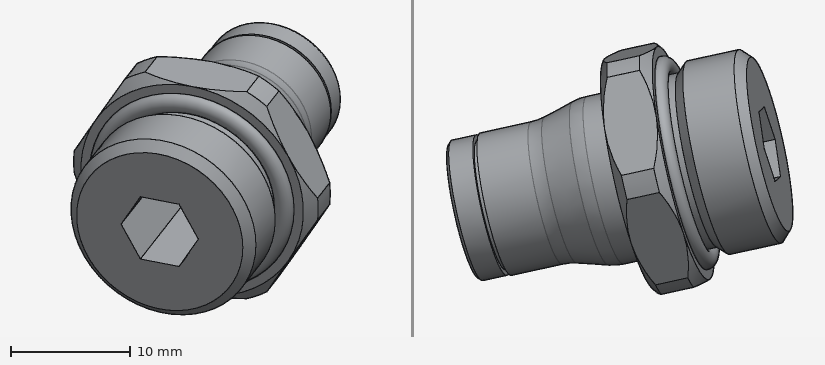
import cadquery as cq
import math

thread_end = 5.3
neck_start = 6.17
ring_start = 6.6
nut_start = 7.5
nut_end = 12.0
taper_start = 14.9
taper_end = 18.7
groove_start = 23.77
groove_end = 24.15
total_length = 26.5

thread_radius = 8.32
neck_radius = 7.5
ring_radius = 9.17
shank_radius = 7.2
stem_radius = 6.12
groove_radius = 5.56
cap_radius = 6.05

thread_chamfer = 0.85
cap_chamfer = 0.26
taper_blend_radius = 4.5
edge_search_margin = 0.13
ring_section_radius = 0.85

nut_across_flats = 20.0
nut_corner_radius = 11.0
nut_chamfer_length = 0.85
socket_across_flats = 6.02


def hex_prism(across_flats, start, end):
    """Hexagonal prism along Y with two corners on the X axis."""
    across_corners = across_flats / math.cos(math.radians(30))
    return (
        cq.Workplane("XZ", origin=(0, start, 0))
        .polygon(6, across_corners)
        .extrude(start - end)
    )


def revolve_profile(points):
    """Solid of revolution about Y from (radius, station) points."""
    return cq.Workplane("XY").polyline(points).close().revolve(360, (0, 0, 0), (0, 1, 0))


def turned_body():
    """Threaded end, neck, shank, tapered stem and grooved cap."""
    body = revolve_profile([
        (0, 0),
        (thread_radius - thread_chamfer, 0),
        (thread_radius, thread_chamfer),
        (thread_radius, thread_end),
        (neck_radius, neck_start),
        (neck_radius, nut_end),
        (shank_radius, nut_end),
        (shank_radius, taper_start),
        (stem_radius, taper_end),
        (stem_radius, groove_start),
        (groove_radius, groove_start),
        (groove_radius, groove_end),
        (cap_radius, groove_end),
        (cap_radius, total_length - cap_chamfer),
        (cap_radius - cap_chamfer, total_length),
        (0, total_length),
    ])
    for station in (taper_start, taper_end):
        band = cq.selectors.BoxSelector(
            (-thread_radius, station - edge_search_margin, -thread_radius),
            (thread_radius, station + edge_search_margin, thread_radius),
        )
        body = body.edges("%CIRCLE").edges(band).fillet(taper_blend_radius)
    return body


def sealing_ring():
    """O-ring around the neck, partly sunk into the nut face."""
    return (
        cq.Workplane("XY")
        .center(ring_radius - ring_section_radius, ring_start + ring_section_radius)
        .circle(ring_section_radius)
        .revolve(
            360,
            (ring_section_radius - ring_radius, 0, 0),
            (ring_section_radius - ring_radius, 1, 0),
        )
    )


def nut():
    """Hexagonal nut with rounded corners, chamfered at both ends."""
    face_radius = nut_across_flats / 2
    envelope = revolve_profile([
        (0, nut_start),
        (face_radius, nut_start),
        (nut_corner_radius, nut_start + nut_chamfer_length),
        (nut_corner_radius, nut_end - nut_chamfer_length),
        (face_radius, nut_end),
        (0, nut_end),
    ])
    return hex_prism(nut_across_flats, nut_start, nut_end).intersect(envelope)


socket = hex_prism(socket_across_flats, 0, total_length)
result = turned_body().union(sealing_ring()).union(nut()).cut(socket)